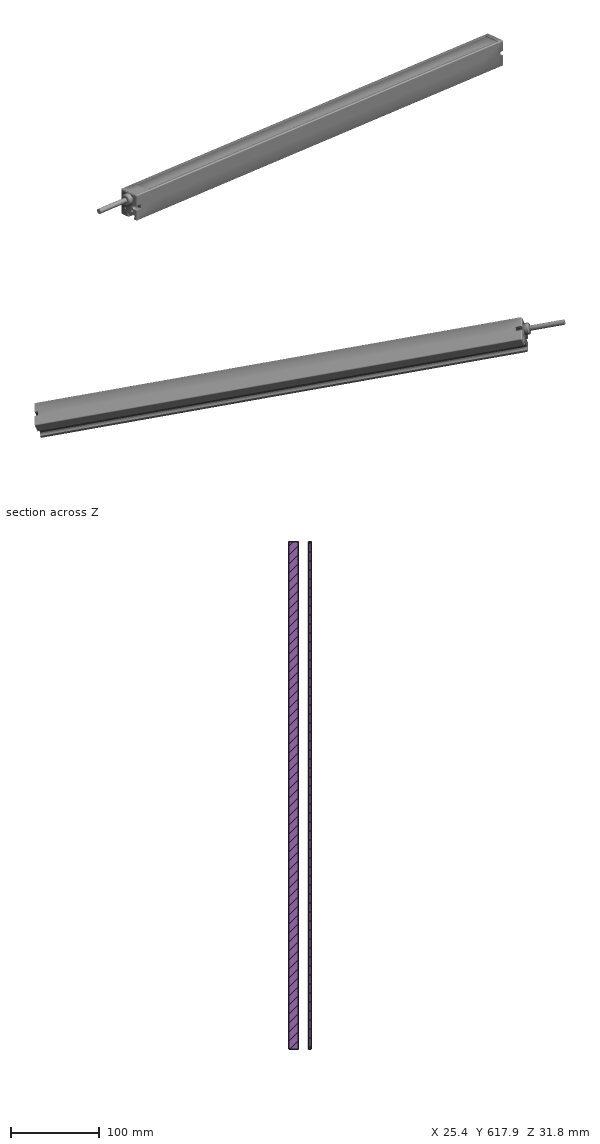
import cadquery as cq

width = 25.4
height = 31.75
overall_length = 617.9

housing_length = 571.5
near_cap_length = 18.6
far_cap_length = 5.6
profile_length = housing_length - near_cap_length - far_cap_length
gland_length = 5.6
cable_length = overall_length - housing_length - gland_length

edge_radius = 1.2
cap_face_chamfer = 1.0

window_width = 17.0
window_mouth_width = 20.8
window_depth = 0.8
window_end_margin = 1.0
window_length = profile_length - window_end_margin

slot_center_x = 3.7
slot_mouth_width = 9.3
slot_width = 11.2
slot_lip = 2.8
slot_depth = 5.6

notch_width = 5.6
notch_depth = 6.5
near_notch_length = 7.4
far_notch_length = 4.0

screw_hole_diameter = 3.2
screw_hole_depth = 3.0
screw_x = 5.6
upper_screw_z = height - 4.9
lower_screw_z = height - 21.4

gland_diameter = 13.6
gland_chamfer = 1.0
cable_diameter = 6.0
cable_z = height - 8.4


def beam(size_x, length, size_z, x=0, y=0, z=0):
    """Box centred on x, running from y towards +Y and from z upwards."""
    return cq.Workplane("XY").box(size_x, length, size_z, centered=(True, False, False)).translate((x, y, z))


def rod(diameter, length, y, x=0, z=cable_z):
    """Cylinder along Y, running from y towards +Y."""
    return cq.Workplane("XZ", origin=(x, y, z)).circle(diameter / 2).extrude(-length)


def rounded_beam(length, y):
    return beam(width, length, height, y=y).edges("|Y").fillet(edge_radius)


def window_recess():
    half_floor = window_width / 2
    half_mouth = window_mouth_width / 2
    floor_z = height - window_depth
    outline = [(-half_floor, floor_z), (half_floor, floor_z), (half_mouth, height), (-half_mouth, height)]
    start = (0, near_cap_length + window_end_margin, 0)
    return cq.Workplane("XZ", origin=start).polyline(outline).close().extrude(-window_length)


def t_slot():
    mouth = beam(slot_mouth_width, housing_length, slot_depth, x=slot_center_x)
    channel = beam(slot_width, housing_length, slot_depth - slot_lip, x=slot_center_x, z=slot_lip)
    return mouth.union(channel)


def notch(side, y, length):
    """Round-ended notch, centred on its mouth in the side face (side = -1 or +1)."""
    mouth = cq.Workplane("XZ", origin=(side * width / 2, y, height / 2))
    return mouth.slot2D(2 * notch_depth, notch_width).extrude(-length)


def gland():
    return rod(gland_diameter, gland_length, -gland_length).faces("<Y").chamfer(gland_chamfer)


def make_near_cap():
    cap = rounded_beam(near_cap_length, 0).faces("<Y").chamfer(cap_face_chamfer).cut(t_slot())
    for side in (-1, 1):
        cap = cap.cut(notch(side, 0, near_notch_length))
    for x in (-screw_x, screw_x):
        for z in (upper_screw_z, lower_screw_z):
            cap = cap.cut(rod(screw_hole_diameter, screw_hole_depth, 0, x, z))
    return cap.union(gland())


def make_profile():
    return rounded_beam(profile_length, near_cap_length).cut(window_recess()).cut(t_slot())


def make_far_cap():
    cap = rounded_beam(far_cap_length, housing_length - far_cap_length).cut(t_slot())
    for side in (-1, 1):
        cap = cap.cut(notch(side, housing_length - far_notch_length, far_notch_length))
    return cap


def make_housing():
    body = make_near_cap().union(make_profile(), clean=False).union(make_far_cap(), clean=False)
    return body.solids()


def make_cable():
    return rod(cable_diameter, cable_length, -gland_length - cable_length)


housing = make_housing()
cable = make_cable()

result = cq.Compound.makeCompound([housing.val(), cable.val()])